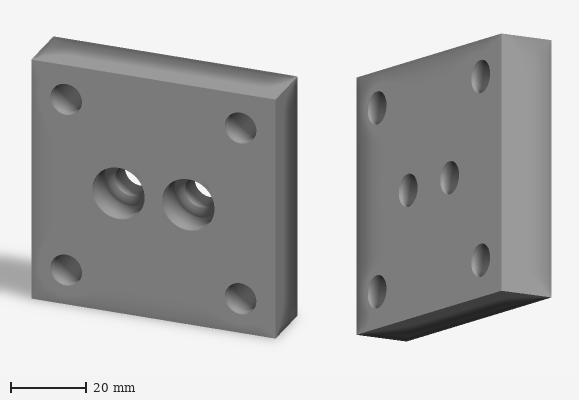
import cadquery as cq

plate_side = 70.0
plate_thickness = 16.0

hole_diameter = 9.0
corner_hole_spacing = 50.0
centre_hole_spacing = 20.0

counterbore_diameter = 15.0
counterbore_depth = 9.0

plate = cq.Workplane("XY").box(plate_side, plate_thickness, plate_side)

plate = (
    plate.faces("<Y")
    .workplane(centerOption="CenterOfBoundBox")
    .rect(corner_hole_spacing, corner_hole_spacing, forConstruction=True)
    .vertices()
    .hole(hole_diameter)
)

result = (
    plate.faces("<Y")
    .workplane(centerOption="CenterOfBoundBox")
    .rarray(centre_hole_spacing, 0.7, 2, 1)
    .cboreHole(hole_diameter, counterbore_diameter, counterbore_depth)
)